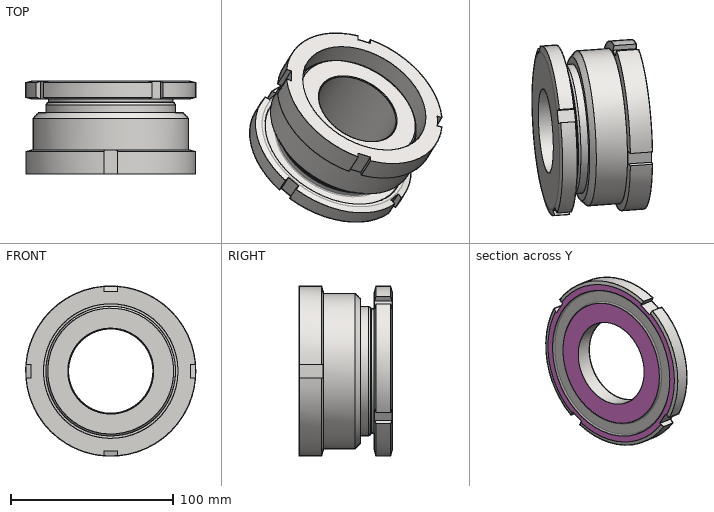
import cadquery as cq


FLANGE_RADIUS = 52.5
FLANGE_CHAMFER_RADIAL = 4.0
FLANGE_CHAMFER_AXIAL = 1.07
NOTCH_COUNT = 4
NOTCH_WIDTH = 8.3
NOTCH_FLOOR_RADIUS = 49.2

FRONT_Y = 0.0
HOUSING_FLANGE_END_Y = 15.0
HOUSING_END_Y = 38.0
SPINDLE_START_Y = 10.1
RING_START_Y = 46.3
RING_END_Y = 57.5

HOUSING_RADIUS = 48.0
HOUSING_CHAMFER = 3.5
RECESS_RADIUS = 41.5
RECESS_DEPTH = 15.0

THREAD_RADIUS = 40.0
THREAD_END_Y = 44.5
THREAD_RUNOUT_RADIUS = 39.2
THREAD_RUNOUT_LENGTH = 0.4
THREAD_CHAMFER_RADIAL = 1.2
THREAD_CHAMFER_AXIAL = 1.4
NECK_RADIUS = 38.5
BORE_RADIUS = 26.0
BORE_CHAMFER = 0.5
SPINDLE_TURN = 33.5
RING_RECESS_RADIUS = 46.4
RING_RECESS_DEPTH = 1.7
RING_RECESS_FILLET = 0.6

EDGE_SEARCH_MARGIN = 0.1

FLANGE_FACE_RADIUS = FLANGE_RADIUS - FLANGE_CHAMFER_RADIAL
THREAD_END_RADIUS = THREAD_RADIUS - THREAD_CHAMFER_RADIAL


def revolve_about_y(profile):
    """Turn a closed list of (radius, y) points about the Y axis."""
    return cq.Workplane("XY").polyline(profile).close().revolve(360, (0, 0, 0), (0, 1, 0))


def cut_notches(body, start_y, end_y, turn):
    """Cut the spanner notches through a flange, the first one turned from +X about Y."""
    depth = FLANGE_RADIUS - NOTCH_FLOOR_RADIUS
    notch = cq.Workplane("XY").box(2 * depth, end_y - start_y, NOTCH_WIDTH)
    notch = notch.translate((FLANGE_RADIUS, (start_y + end_y) / 2, 0))
    for index in range(NOTCH_COUNT):
        angle = turn + index * 360 / NOTCH_COUNT
        body = body.cut(notch.rotate((0, 0, 0), (0, 1, 0), angle))
    return body


def make_housing():
    """Flanged sleeve whose bore fits the spindle thread, with a wide recess at the front."""
    body = revolve_about_y([
        (RECESS_RADIUS, FRONT_Y),
        (FLANGE_RADIUS, FRONT_Y),
        (FLANGE_RADIUS, HOUSING_FLANGE_END_Y - FLANGE_CHAMFER_AXIAL),
        (FLANGE_FACE_RADIUS, HOUSING_FLANGE_END_Y),
        (HOUSING_RADIUS, HOUSING_FLANGE_END_Y),
        (HOUSING_RADIUS, HOUSING_END_Y - HOUSING_CHAMFER),
        (HOUSING_RADIUS - HOUSING_CHAMFER, HOUSING_END_Y),
        (THREAD_RADIUS, HOUSING_END_Y),
        (THREAD_RADIUS, RECESS_DEPTH),
        (RECESS_RADIUS, RECESS_DEPTH),
    ])
    return cut_notches(body, FRONT_Y, HOUSING_FLANGE_END_Y, 0)


def make_spindle():
    """Hollow spindle: plain thread cylinder, neck and a notched ring with a shallow recess around the neck."""
    recess_floor_y = RING_START_Y + RING_RECESS_DEPTH
    body = revolve_about_y([
        (BORE_RADIUS + BORE_CHAMFER, SPINDLE_START_Y),
        (THREAD_END_RADIUS, SPINDLE_START_Y),
        (THREAD_RADIUS, SPINDLE_START_Y + THREAD_CHAMFER_AXIAL),
        (THREAD_RADIUS, THREAD_END_Y - THREAD_RUNOUT_LENGTH - THREAD_CHAMFER_AXIAL),
        (THREAD_RUNOUT_RADIUS, THREAD_END_Y - THREAD_RUNOUT_LENGTH),
        (NECK_RADIUS, THREAD_END_Y),
        (NECK_RADIUS, recess_floor_y),
        (RING_RECESS_RADIUS, recess_floor_y),
        (RING_RECESS_RADIUS, RING_START_Y),
        (FLANGE_FACE_RADIUS, RING_START_Y),
        (FLANGE_RADIUS, RING_START_Y + FLANGE_CHAMFER_AXIAL),
        (FLANGE_RADIUS, RING_END_Y - FLANGE_CHAMFER_AXIAL),
        (FLANGE_FACE_RADIUS, RING_END_Y),
        (BORE_RADIUS, RING_END_Y),
        (BORE_RADIUS, SPINDLE_START_Y + BORE_CHAMFER),
    ])
    floor_edges = cq.selectors.BoxSelector(
        (-FLANGE_RADIUS, recess_floor_y - EDGE_SEARCH_MARGIN, -FLANGE_RADIUS),
        (FLANGE_RADIUS, recess_floor_y + EDGE_SEARCH_MARGIN, FLANGE_RADIUS),
        boundingbox=True,
    )
    body = body.edges(floor_edges).fillet(RING_RECESS_FILLET)
    return cut_notches(body, RING_START_Y, RING_END_Y, SPINDLE_TURN)


housing = make_housing()
spindle = make_spindle()
result = cq.Compound.makeCompound([housing.val(), spindle.val()])